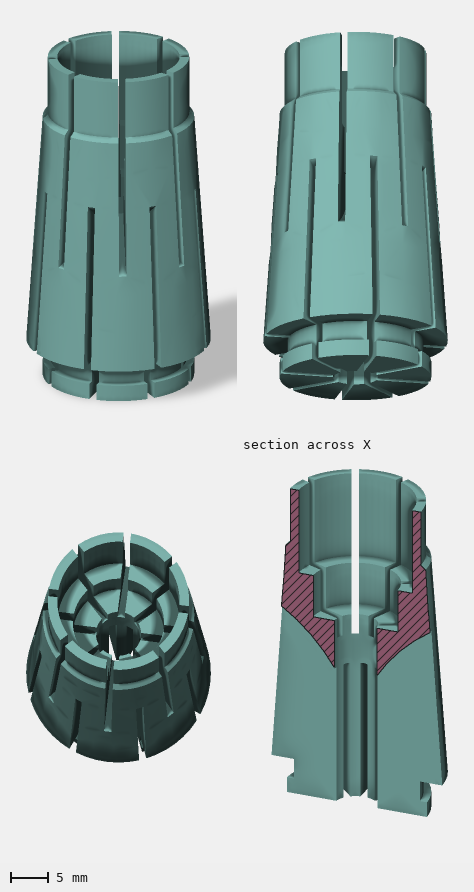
import cadquery as cq
import math


total_height = 45.1
flange_top = 2.15
neck_top = 5.05
cone_top = 36.65
shoulder_top = 37.25

flange_radius = 10.05
neck_radius = 9.0
cone_base_radius = 24.5 / 2
cone_top_radius = 10.05
sleeve_radius = 9.4

bore_radius = 6.0 / 2
middle_bore_radius = 6.05
mouth_bore_radius = 8.1
middle_bore_floor = 26.85
mouth_bore_floor = 32.92

slots_per_end = 8
slot_width = 1.0
lower_blade_radius = 25.0
lower_blade_offset = 24.25
lower_blade_height = 6.6
upper_blade_radius = 20.0
upper_blade_offset = 18.15
upper_blade_height = 37.0
slot_pitch = 360.0 / slots_per_end
end_clearance = 2.25


def make_body():
    """Solid of revolution with the stepped bore already open."""
    half_section = [
        (bore_radius, 0),
        (flange_radius, 0),
        (flange_radius, flange_top),
        (neck_radius, flange_top),
        (neck_radius, neck_top),
        (cone_base_radius, neck_top),
        (cone_top_radius, cone_top),
        (sleeve_radius, shoulder_top),
        (sleeve_radius, total_height),
        (mouth_bore_radius, total_height),
        (mouth_bore_radius, mouth_bore_floor),
        (middle_bore_radius, mouth_bore_floor),
        (middle_bore_radius, middle_bore_floor),
        (bore_radius, middle_bore_floor),
    ]
    return cq.Workplane("XZ").polyline(half_section).close().revolve(360, (0, 0), (0, 1))


def make_slot_cutter(blade_radius, blade_offset, blade_height, open_end):
    """Cutter along +X with a quarter-round end, running out past the open_end height."""
    toward_body = 1 if blade_height > open_end else -1
    inner_reach = blade_offset - blade_radius
    diagonal = blade_radius * math.sqrt(0.5)
    arc_middle = (blade_offset - diagonal, blade_height + toward_body * diagonal)
    arc_end = (blade_offset, blade_height + toward_body * blade_radius)
    run_out = open_end - toward_body * end_clearance
    return (
        cq.Workplane("XZ")
        .moveTo(inner_reach, run_out)
        .lineTo(inner_reach, blade_height)
        .threePointArc(arc_middle, arc_end)
        .lineTo(blade_offset, run_out)
        .close()
        .extrude(slot_width / 2, both=True)
    )


lower_cutter = make_slot_cutter(lower_blade_radius, lower_blade_offset, lower_blade_height, 0)
upper_cutter = make_slot_cutter(upper_blade_radius, upper_blade_offset, upper_blade_height, total_height)

result = make_body()
for index in range(slots_per_end):
    lower_angle = index * slot_pitch
    upper_angle = lower_angle + slot_pitch / 2
    result = result.cut(lower_cutter.rotate((0, 0, 0), (0, 0, 1), lower_angle))
    result = result.cut(upper_cutter.rotate((0, 0, 0), (0, 0, 1), upper_angle))